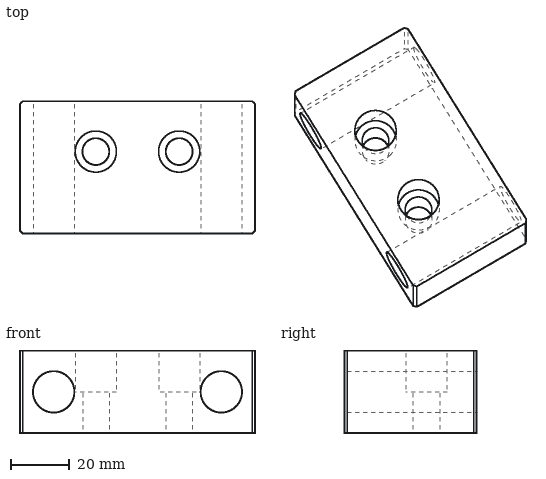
import cadquery as cq

length = 80.0
width = 45.0
height = 28.0
corner_chamfer = 1.0

bore_diameter = 14.0
bore_spacing = 57.0

bolt_diameter = 9.0
counterbore_diameter = bore_diameter
counterbore_depth = height / 2
bolt_spacing = 28.3
bolt_row_y = 5.4


def make_block():
    """Block centred on the origin, with its upright corners chamfered."""
    return cq.Workplane("XY").box(length, width, height).edges("|Z").chamfer(corner_chamfer)


def cut_cross_bores(body):
    """Pair of plain through bores along Y."""
    return (
        body.faces("<Y")
        .workplane(origin=(0, 0, 0))
        .rarray(bore_spacing, 0.8, 2, 1)
        .hole(bore_diameter)
    )


def cut_bolt_holes(body):
    """Pair of through holes along Z, counterbored from the top."""
    return (
        body.faces(">Z")
        .workplane(origin=(0, bolt_row_y, 0))
        .rarray(bolt_spacing, 0.8, 2, 1)
        .cboreHole(bolt_diameter, counterbore_diameter, counterbore_depth)
    )


result = cut_bolt_holes(cut_cross_bores(make_block()))